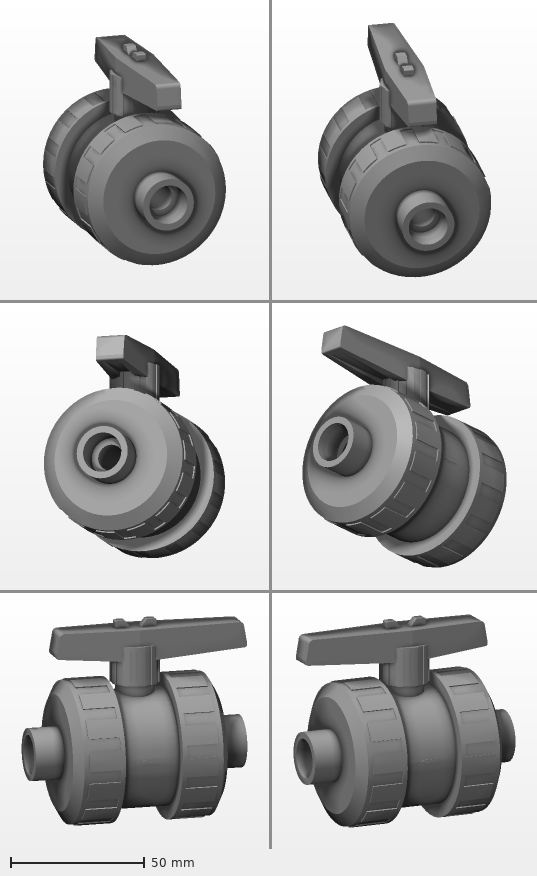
import cadquery as cq
import math


overall_length = 83.75
overall_height = 77.55

pipe_length = 82.4
pipe_diameter = 20.0
socket_diameter = 15.0
bore_diameter = 10.0

body_diameter = 45.05
nut_diameter = 55.5
nut_root_diameter = 54.5
nut_face_diameter = 44.2
nut_inner_x = 11.1
nut_collar_x = 12.9
nut_rib_end_x = 25.1
nut_chamfer_x = 27.1
nut_outer_x = 30.15
rib_count = 14
rib_angle = 15.5
first_rib_angle = 4.9

arrow_tail_x = -3.8
arrow_tip_x = 3.7
arrow_shaft_width = 1.2
arrow_head_width = 2.0
arrow_height = 0.25

stem_x = 0.1
stem_diameter = 15.0
hub_bottom_z = 25.8
hub_top_z = 40.8
hub_diameter = 18.9
hub_groove_depth = 0.5
hub_rib_count = 10

handle_top_z = 47.0
handle_tip_z = 37.2
handle_middle_z = 34.7
handle_left_x = -31.7
handle_right_x = overall_length - pipe_length / 2
handle_end_lean = 1.4
handle_lean_start_z = 39.0
handle_half_width = 7.45
handle_side_slope = 0.065
handle_top_fillet = 1.8
handle_tip_fillet = 0.75
handle_slot_width = 5.8

lug_top_z = overall_height - nut_diameter / 2
lug_inner_x = 1.9
lug_ramp_x = 4.3
lug_outer_x = 7.95
lug_width = 3.7
lug_fillet = 0.5


def x_cylinder(diameter, start_x, end_x):
    return cq.Workplane("YZ").workplane(offset=start_x).circle(diameter / 2).extrude(end_x - start_x)


def ribbed_nut():
    """Nut on the -X side: a chamfered ring whose grip ribs grow outward from its inner collar."""
    profile = [
        (-nut_inner_x, 0),
        (-nut_inner_x, nut_diameter / 2),
        (-nut_rib_end_x, nut_diameter / 2),
        (-nut_rib_end_x, nut_root_diameter / 2),
        (-nut_chamfer_x, nut_root_diameter / 2),
        (-nut_outer_x, nut_face_diameter / 2),
        (-nut_outer_x, 0),
    ]
    nut = cq.Workplane("XZ").polyline(profile).close().revolve(360, (0, 0, 0), (1, 0, 0))

    pitch = 360 / rib_count
    half_gap = math.radians(pitch - rib_angle) / 2
    wedge_length = nut_diameter
    half_spread = wedge_length * math.tan(half_gap)
    wedge = (
        cq.Workplane("YZ")
        .workplane(offset=-nut_rib_end_x)
        .polyline([(0, 0), (-wedge_length, half_spread), (-wedge_length, -half_spread)])
        .close()
        .extrude(nut_rib_end_x - nut_collar_x)
        .cut(x_cylinder(nut_root_diameter, -nut_rib_end_x, -nut_collar_x))
    )
    for index in range(rib_count):
        gap_angle = first_rib_angle + (index + 0.5) * pitch
        nut = nut.cut(wedge.rotate((0, 0, 0), (1, 0, 0), -gap_angle))
    return nut


def flow_arrows():
    shaft = arrow_shaft_width / 2
    head = arrow_head_width / 2
    outline = [
        (arrow_tail_x, -shaft),
        (0, -shaft),
        (0, -head),
        (arrow_tip_x, 0),
        (0, head),
        (0, shaft),
        (arrow_tail_x, shaft),
    ]
    bars = cq.Workplane("XZ").polyline(outline).close().extrude(body_diameter, both=True)
    return bars.intersect(x_cylinder(body_diameter + 2 * arrow_height, arrow_tail_x, arrow_tip_x))


def stem_and_hub():
    """Round stem rising from the body into a hub with equal ribs and grooves."""
    stem = cq.Workplane("XY").center(stem_x, 0).circle(stem_diameter / 2).extrude(hub_bottom_z)

    rib_radius = hub_diameter / 2
    groove_radius = rib_radius - hub_groove_depth
    half_step = math.radians(360 / hub_rib_count) / 4

    def point(radius, angle):
        return (stem_x + radius * math.sin(angle), radius * math.cos(angle))

    outline = cq.Workplane("XY").workplane(offset=hub_bottom_z).moveTo(*point(rib_radius, -half_step))
    for index in range(hub_rib_count):
        rib = 4 * half_step * index
        groove = rib + 2 * half_step
        groove_end = groove + half_step
        outline = outline.threePointArc(point(rib_radius, rib), point(rib_radius, rib + half_step))
        outline = outline.lineTo(*point(groove_radius, rib + half_step))
        outline = outline.threePointArc(point(groove_radius, groove), point(groove_radius, groove_end))
        if index < hub_rib_count - 1:
            outline = outline.lineTo(*point(rib_radius, groove_end))
    return stem.union(outline.close().extrude(hub_top_z - hub_bottom_z))


def handle():
    """Lever deepest and widest over the stem, tapering to both tips, slotted underneath."""
    side_outline = [
        (handle_left_x, handle_tip_z),
        (0, handle_middle_z),
        (handle_right_x, handle_tip_z),
        (handle_right_x, handle_lean_start_z),
        (handle_right_x - handle_end_lean, handle_top_z),
        (handle_left_x + handle_end_lean, handle_top_z),
        (handle_left_x, handle_lean_start_z),
    ]
    lever = cq.Workplane("XZ").polyline(side_outline).close().extrude(handle_half_width, both=True)
    lever = lever.faces("<X or >X").edges("<Z").fillet(handle_tip_fillet)
    lever = lever.faces(">Z").edges("<X or >X").fillet(handle_top_fillet)

    left_half_width = handle_half_width + handle_side_slope * handle_left_x
    right_half_width = handle_half_width - handle_side_slope * handle_right_x
    plan_outline = [
        (handle_left_x, -left_half_width),
        (0, -handle_half_width),
        (handle_right_x, -right_half_width),
        (handle_right_x, right_half_width),
        (0, handle_half_width),
        (handle_left_x, left_half_width),
    ]
    plan = cq.Workplane("XY").polyline(plan_outline).close().extrude(handle_top_z)
    slot = cq.Workplane("XY").box(
        2 * handle_right_x, handle_slot_width, handle_tip_z, centered=(True, True, False)
    )
    return lever.intersect(plan).cut(slot)


def lug():
    """Lug on the +X side, with a ramp facing the stem axis."""
    outline = [
        (stem_x + lug_inner_x, handle_top_z),
        (stem_x + lug_ramp_x, lug_top_z),
        (stem_x + lug_outer_x, lug_top_z),
        (stem_x + lug_outer_x, handle_top_z),
    ]
    block = cq.Workplane("XZ").polyline(outline).close().extrude(lug_width / 2, both=True)
    return block.faces(">X").edges(">Z").fillet(lug_fillet)


left_nut = ribbed_nut()
right_nut = left_nut.rotate((0, 0, 0), (0, 0, 1), 180)
right_lug = lug()
left_lug = right_lug.mirror("YZ", (stem_x, 0, 0))

valve = x_cylinder(pipe_diameter, -pipe_length / 2, pipe_length / 2)
valve = valve.union(x_cylinder(body_diameter, -nut_inner_x, nut_inner_x))
for piece in (left_nut, right_nut, flow_arrows(), stem_and_hub(), handle(), left_lug, right_lug):
    valve = valve.union(piece)

valve = valve.cut(x_cylinder(bore_diameter, -pipe_length / 2, pipe_length / 2))
valve = valve.cut(x_cylinder(socket_diameter, -pipe_length / 2, -nut_outer_x))
valve = valve.cut(x_cylinder(socket_diameter, nut_outer_x, pipe_length / 2))

result = valve